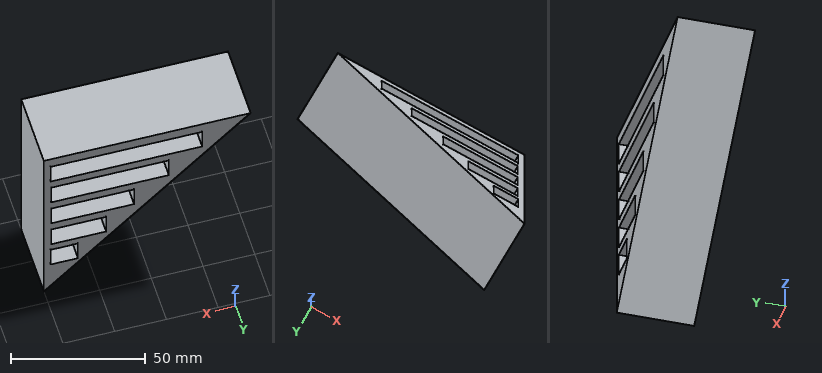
import cadquery as cq

side = 80.0
depth = 30.0

window_height = 9.0
windows = [
    (4.6, 2.6, 58.6),
    (17.4, 2.9, 45.4),
    (30.2, 2.9, 32.0),
    (43.0, 2.9, 21.2),
    (55.4, 2.6, 10.6),
]


def make_block():
    """Triangular prism with its right angle at the top of the upright face."""
    outline = cq.Workplane("XZ").moveTo(0, side).lineTo(side, side).lineTo(side, 0).close()
    return outline.extrude(-depth)


def make_window(top_gap, upright_gap, width):
    """Cutter for one window through the full depth."""
    left = side - upright_gap - width
    bottom = side - top_gap - window_height
    cutter = cq.Workplane("XY").box(width, depth, window_height, centered=False)
    return cutter.translate((left, 0, bottom))


result = make_block()
for top_gap, upright_gap, width in windows:
    result = result.cut(make_window(top_gap, upright_gap, width))